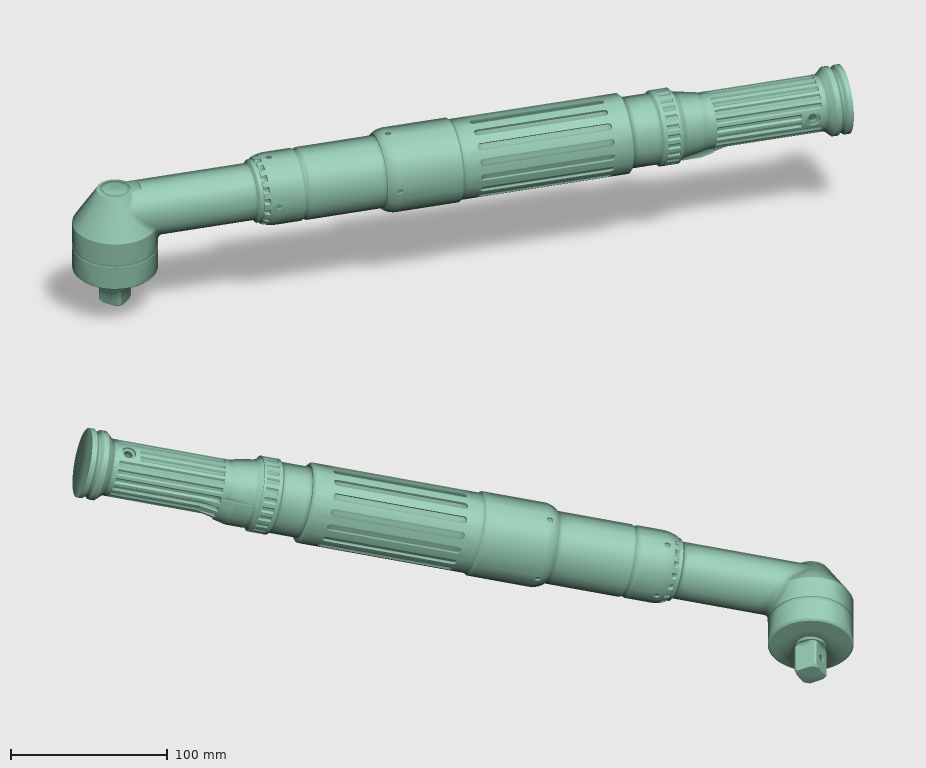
import cadquery as cq
import math

TOTAL_LENGTH = 512.0
TOTAL_HEIGHT = 92.0
LARGEST_DIA = 55.0
BODY_PLANE = cq.Plane(origin=(0, 0, 0), xDir=(0, -1, 0), normal=(-1, 0, 0))

END_FLANGE_R = 22.5
GRIP_R = 18.5
GRIP_SHOULDER_R = 19.5
GRIP_NECK_R = 21.5
RING_REAR_R = 23.5
RING_R = 24.5
SLEEVE_R = 23.0
BARREL_R = 26.0
MOTOR_R = LARGEST_DIA / 2
GEARCASE_R = 23.5
COLLAR_R = 20.5
TUBE_R = 18.5

FLANGE_END = 11.5
GRIP_START = 16.0
GRIP_END = 95.0
SHOULDER_START = 98.5
NECK_END = 110.5
RING_START = 114.0
RING_END = 127.5
BARREL_START = 146.5
MOTOR_START = 259.5
MOTOR_ROUND_START = 302.0
MOTOR_ROUND_END = 309.0
MOTOR_END = 310.5
GEARCASE_ROUND_START = 381.5
NUT_END = 391.5
COLLAR_CHAMFER_START = 394.0
COLLAR_END = 395.5
STEP_CHAMFER = 1.3
MOTOR_NOSE_R = 25.5
MOTOR_END_R = 24.5
NUT_NOSE_R = 21.5

FLANGE_GROOVE_AT = FLANGE_END / 2
FLANGE_GROOVE_WIDTH = 4.5
FLANGE_GROOVE_FLOOR = 1.5
FLANGE_GROOVE_DEPTH = 1.5
GEARCASE_GROOVE_AT = 363.0
GEARCASE_GROOVE_WIDTH = 4.0
GEARCASE_GROOVE_FLOOR = 1.0
GEARCASE_GROOVE_DEPTH = 0.75

FLUTE_COUNT = 20
FLUTE_WIDTH = 4.0
FLUTE_FLOOR = 1.5
FLUTE_DEPTH = 1.3
FLUTE_START = 19.5
FLUTE_START_AT_HOLE = 33.5
FLUTE_END = 89.5
SLOT_COUNT = 16
SLOT_WIDTH = 4.5
SLOT_DEPTH = 2.0
SLOT_START = 160.0
SLOT_END = 249.0
RING_NOTCH_COUNT = 24
RING_NOTCH_START = 116.0
RING_NOTCH_END = 124.0
NUT_NOTCH_COUNT = 18
NUT_NOTCH_START = 388.0
NOTCH_WIDTH = 4.0
NOTCH_FLOOR = 1.5
NOTCH_DEPTH = 1.0

CROSS_HOLE_AT = 25.5
CROSS_HOLE_DIA = 5.5
CROSS_HOLE_DEPTH = 5.0
CROSS_COUNTERBORE_DIA = 9.0
CROSS_COUNTERBORE_DEPTH = 2.0

SWELL_R = 23.0
SWELL_START = 78.0
SWELL_CREST = 98.5
SWELL_ANGLE = 60.0

DIMPLE_COUNT = 4
DIMPLE_DIA = 4.0
DIMPLE_DEPTH = 1.5
DIMPLE_OFFSET = 1.0

HEAD_R = LARGEST_DIA / 2
HEAD_AT = TOTAL_LENGTH - HEAD_R
HEAD_TOP = 17.5
HEAD_TOP_R = 12.0
CONE_BASE = -7.0
HEAD_BOTTOM = -41.5
HEAD_CHAMFER = 1.0
HEAD_FILLET_R = 3.0
HEAD_GROOVE_Z = -23.5
HEAD_GROOVE_WIDTH = 2.0
HEAD_GROOVE_DEPTH = 0.5
TOP_FLAT_REACH = 16.5
CAP_GROOVE_OUTER_DIA = 20.0
CAP_GROOVE_INNER_DIA = 16.0
CAP_GROOVE_DEPTH = 0.5

NECK_DIA = 20.0
DRIVE_TOP = -43.5
DRIVE_BOTTOM = MOTOR_R - TOTAL_HEIGHT
DRIVE_SIDE = 16.0
DRIVE_CORNER_DIA = 21.0
DRIVE_CHAMFER = 1.5
DETENT_Z = -55.0
DETENT_DIA = 5.5
DETENT_DEPTH = 3.0

OVERLAP = 2.5


def around_body(shape, angle):
    """Turn a shape about the body axis."""
    return shape.rotate((0, 0, 0), (0, 1, 0), angle)


def turned_body():
    """Stepped round body revolved about the Y axis."""
    profile = (
        cq.Workplane(BODY_PLANE)
        .moveTo(0, 0)
        .lineTo(0, END_FLANGE_R)
        .lineTo(FLANGE_END, END_FLANGE_R)
        .lineTo(GRIP_START, GRIP_R)
        .lineTo(GRIP_END, GRIP_R)
        .lineTo(SHOULDER_START, GRIP_SHOULDER_R)
        .lineTo(NECK_END, GRIP_NECK_R)
        .lineTo(RING_START, RING_REAR_R)
        .lineTo(RING_START, RING_R)
        .lineTo(RING_END - STEP_CHAMFER, RING_R)
        .lineTo(RING_END, RING_R - STEP_CHAMFER)
        .lineTo(RING_END, SLEEVE_R)
        .lineTo(BARREL_START, SLEEVE_R)
        .lineTo(BARREL_START, BARREL_R - STEP_CHAMFER)
        .lineTo(BARREL_START + STEP_CHAMFER, BARREL_R)
        .lineTo(MOTOR_START, BARREL_R)
        .lineTo(MOTOR_START + STEP_CHAMFER, MOTOR_R)
        .lineTo(MOTOR_ROUND_START, MOTOR_R)
        .tangentArcPoint((MOTOR_ROUND_END, MOTOR_NOSE_R), relative=False)
        .lineTo(MOTOR_END, MOTOR_END_R)
        .lineTo(MOTOR_END, GEARCASE_R)
        .lineTo(GEARCASE_ROUND_START, GEARCASE_R)
        .tangentArcPoint((NUT_END, NUT_NOSE_R), relative=False)
        .lineTo(NUT_END, COLLAR_R)
        .lineTo(COLLAR_CHAMFER_START, COLLAR_R)
        .lineTo(COLLAR_END, TUBE_R)
        .lineTo(HEAD_AT, TUBE_R)
        .lineTo(HEAD_AT, 0)
        .close()
    )
    return profile.revolve(360, (0, 0, 0), (1, 0, 0))


def turned_groove(station, radius, width, floor, depth):
    """Cutter for a groove with sloping sides running round the body."""
    return (
        cq.Workplane(BODY_PLANE)
        .moveTo(station - width / 2, radius)
        .lineTo(station - floor / 2, radius - depth)
        .lineTo(station + floor / 2, radius - depth)
        .lineTo(station + width / 2, radius)
        .lineTo(station + width / 2, radius + OVERLAP)
        .lineTo(station - width / 2, radius + OVERLAP)
        .close()
        .revolve(360, (0, 0, 0), (1, 0, 0))
    )


def grip_swelling():
    """Sector of a tapered collar, centred under the grip."""
    sector = (
        cq.Workplane(BODY_PLANE)
        .moveTo(SWELL_START, 0)
        .lineTo(SWELL_START, GRIP_R)
        .lineTo(SWELL_CREST, SWELL_R)
        .lineTo(NECK_END, SWELL_R)
        .lineTo(NECK_END, 0)
        .close()
        .revolve(SWELL_ANGLE, (0, 0, 0), (1, 0, 0))
    )
    return around_body(sector, 180 + SWELL_ANGLE / 2)


def repeat_around(cutter, count):
    """Equally spaced copies of a cutter about the body axis, the first one unturned."""
    copies = cq.Workplane()
    for index in range(count):
        copies.add(around_body(cutter, index * 360 / count))
    return copies.combine()


def round_ended_slot():
    """Cutter for the barrel slot on the top line."""
    middle = (SLOT_START + SLOT_END) / 2
    return (
        cq.Workplane("XY", origin=(0, -middle, BARREL_R - SLOT_DEPTH))
        .slot2D(SLOT_END - SLOT_START, SLOT_WIDTH, 90)
        .extrude(SLOT_DEPTH + OVERLAP)
    )


def sloped_groove(start, end, radius, width, floor, depth):
    """Cutter for a lengthwise groove with sloping sides on the top line."""
    return (
        cq.Workplane("XZ", origin=(0, -start, 0))
        .moveTo(-floor / 2, radius - depth)
        .lineTo(floor / 2, radius - depth)
        .lineTo(width / 2, radius)
        .lineTo(width / 2, radius + OVERLAP)
        .lineTo(-width / 2, radius + OVERLAP)
        .lineTo(-width / 2, radius)
        .close()
        .extrude(end - start)
    )


def grip_flutes():
    """Flute cutters; the two on each side of a cross hole start further forward."""
    pitch = 360 / FLUTE_COUNT
    cutters = cq.Workplane()
    for index in range(FLUTE_COUNT):
        angle = (index + 0.5) * pitch
        beside_hole = abs(math.sin(math.radians(angle))) > math.cos(math.radians(pitch))
        start = FLUTE_START_AT_HOLE if beside_hole else FLUTE_START
        flute = sloped_groove(start, FLUTE_END, GRIP_R, FLUTE_WIDTH, FLUTE_FLOOR, FLUTE_DEPTH)
        cutters.add(around_body(flute, angle))
    return cutters.combine()


def ring_notches():
    """Notch cutters round the grip ring."""
    notch = sloped_groove(
        RING_NOTCH_START, RING_NOTCH_END, RING_R, NOTCH_WIDTH, NOTCH_FLOOR, NOTCH_DEPTH
    )
    return repeat_around(notch, RING_NOTCH_COUNT)


def nut_notches():
    """Notch cutters round the nose of the gear case nut."""
    notch = sloped_groove(
        NUT_NOTCH_START, NUT_END, NUT_NOSE_R, NOTCH_WIDTH, NOTCH_FLOOR, NOTCH_DEPTH
    )
    return repeat_around(notch, NUT_NOTCH_COUNT)


def round_pocket(station, radius, diameter, depth):
    """Cutter for a round blind hole sunk from the top line of the body."""
    return (
        cq.Workplane("XY", origin=(0, -station, radius - depth))
        .circle(diameter / 2)
        .extrude(depth + OVERLAP)
    )


def cross_holes():
    """Counterbored blind holes, one on each side of the grip."""
    hole = round_pocket(CROSS_HOLE_AT, GRIP_R, CROSS_HOLE_DIA, CROSS_HOLE_DEPTH).union(
        round_pocket(CROSS_HOLE_AT, GRIP_R, CROSS_COUNTERBORE_DIA, CROSS_COUNTERBORE_DEPTH)
    )
    return around_body(hole, 90).union(around_body(hole, -90))


def dimples(station, radius):
    """Round dimples, a quarter turn apart."""
    return repeat_around(round_pocket(station, radius, DIMPLE_DIA, DIMPLE_DEPTH), DIMPLE_COUNT)


def at_head(z):
    """Horizontal workplane on the head axis at height z."""
    return cq.Workplane("XY", origin=(0, -HEAD_AT, z))


def ring(z, outer_r, inner_r, height):
    """Flat ring about the head axis, rising from height z."""
    return at_head(z).circle(outer_r).circle(inner_r).extrude(height)


def angle_head():
    """Cylinder with a conical top."""
    return (
        cq.Workplane("XZ", origin=(0, -HEAD_AT, 0))
        .moveTo(0, HEAD_BOTTOM)
        .lineTo(HEAD_R - HEAD_CHAMFER, HEAD_BOTTOM)
        .lineTo(HEAD_R, HEAD_BOTTOM + HEAD_CHAMFER)
        .lineTo(HEAD_R, CONE_BASE)
        .lineTo(HEAD_TOP_R, HEAD_TOP)
        .lineTo(0, HEAD_TOP)
        .close()
        .revolve(360, (0, 0, 0), (0, 1, 0))
    )


def top_flat():
    """Cutter that trims the tube level with the top of the head."""
    return (
        at_head(HEAD_TOP)
        .rect(2 * TUBE_R, 2 * TOP_FLAT_REACH)
        .extrude(TUBE_R)
    )


def square_drive():
    """Square drive turned 45 degrees, with rounded corners, a neck and a detent hole."""
    drive_height = DRIVE_TOP - DRIVE_BOTTOM
    square = at_head(DRIVE_BOTTOM).transformed(rotate=(0, 0, 45)).rect(DRIVE_SIDE, DRIVE_SIDE)
    rounding = (
        at_head(DRIVE_BOTTOM)
        .circle(DRIVE_CORNER_DIA / 2)
        .extrude(drive_height)
        .faces("<Z or >Z")
        .chamfer(DRIVE_CHAMFER)
    )
    drive = square.extrude(drive_height).intersect(rounding)
    neck = at_head(DRIVE_TOP).circle(NECK_DIA / 2).extrude(HEAD_BOTTOM - DRIVE_TOP + OVERLAP)

    floor = (DRIVE_SIDE / 2 - DETENT_DEPTH) / math.sqrt(2)
    detent_plane = cq.Plane(
        origin=(-floor, -HEAD_AT - floor, DETENT_Z),
        xDir=(0, 0, 1),
        normal=(-1, -1, 0),
    )
    detent = cq.Workplane(detent_plane).circle(DETENT_DIA / 2).extrude(DETENT_DEPTH + OVERLAP)
    return drive.cut(detent).union(neck)


def head_groove():
    """Shallow groove cutter round the head."""
    bottom = HEAD_GROOVE_Z - HEAD_GROOVE_WIDTH / 2
    return ring(bottom, HEAD_R + OVERLAP, HEAD_R - HEAD_GROOVE_DEPTH, HEAD_GROOVE_WIDTH)


def cap_groove():
    """Ring groove cutter in the flat top of the head."""
    floor = HEAD_TOP - CAP_GROOVE_DEPTH
    return ring(floor, CAP_GROOVE_OUTER_DIA / 2, CAP_GROOVE_INNER_DIA / 2, CAP_GROOVE_DEPTH)


housing = turned_body().union(angle_head())
housing = housing.edges("%BSPLINE").fillet(HEAD_FILLET_R)
housing = housing.cut(top_flat()).cut(cap_groove()).cut(head_groove())

housing = housing.union(grip_swelling())
flange_groove = turned_groove(
    FLANGE_GROOVE_AT, END_FLANGE_R, FLANGE_GROOVE_WIDTH, FLANGE_GROOVE_FLOOR, FLANGE_GROOVE_DEPTH
)
gearcase_groove = turned_groove(
    GEARCASE_GROOVE_AT,
    GEARCASE_R,
    GEARCASE_GROOVE_WIDTH,
    GEARCASE_GROOVE_FLOOR,
    GEARCASE_GROOVE_DEPTH,
)
housing = housing.cut(flange_groove).cut(gearcase_groove)
housing = housing.cut(grip_flutes()).cut(cross_holes())
housing = housing.cut(ring_notches()).cut(nut_notches())
housing = housing.cut(repeat_around(round_ended_slot(), SLOT_COUNT))
housing = housing.cut(dimples(MOTOR_ROUND_START + DIMPLE_OFFSET, MOTOR_R))
housing = housing.cut(dimples(GEARCASE_ROUND_START + DIMPLE_OFFSET, GEARCASE_R))

result = housing.union(square_drive())